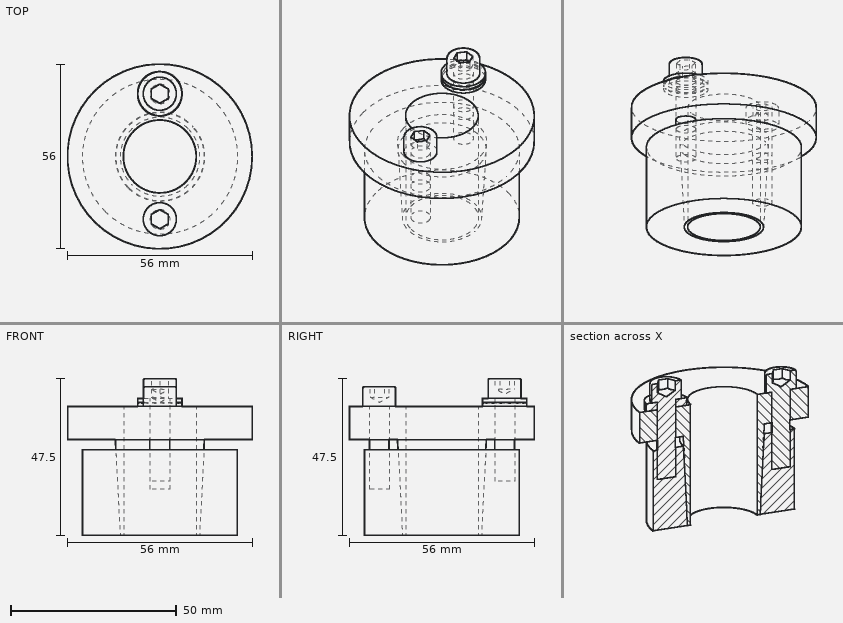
import cadquery as cq
import math

hub_diameter = 47.0
hub_height = 26.0

flange_diameter = 56.0
flange_thickness = 10.0
flange_gap = 3.0
bore_diameter = 22.0
spigot_top_diameter = 27.05
taper_angle = 3.0

screw_offset = 19.0
shank_diameter = 6.0
shank_length = 25.0
head_diameter = 10.0
head_height = 6.0
head_fillet = 0.55
socket_width = 5.05
socket_depth = 3.0
socket_tip_angle = 120.0

washer_diameter = 13.5
washer_thickness = 2.45
notch_count = 16
notch_drop = 0.2
notch_rise = 0.1
notch_depth = 0.1
notch_pitch_share = 0.9

flange_bottom = hub_height + flange_gap
flange_top = flange_bottom + flange_thickness
washer_top = flange_top + washer_thickness
spigot_height = flange_bottom
spigot_bottom_diameter = spigot_top_diameter - 2 * spigot_height * math.tan(math.radians(taper_angle))

screw_seats = [(-screw_offset, flange_top), (screw_offset, washer_top)]


def cylinder(diameter, height, bottom=0.0, y=0.0):
    return cq.Workplane("XY", origin=(0, y, bottom)).circle(diameter / 2).extrude(height)


def spigot_cone():
    """Solid taper that narrows from the flange down to the foot of the hub."""
    profile = [
        (0, 0),
        (spigot_bottom_diameter / 2, 0),
        (spigot_top_diameter / 2, spigot_height),
        (0, spigot_height),
    ]
    return cq.Workplane("XZ").polyline(profile).close().revolve(360, (0, 0), (0, 1))


def shank(y, seat):
    return cylinder(shank_diameter, shank_length, seat - shank_length, y)


def make_hub():
    hub = cylinder(hub_diameter, hub_height).cut(spigot_cone())
    for y, seat in screw_seats:
        hub = hub.cut(shank(y, seat))
    return hub


def make_flange():
    disc = cylinder(flange_diameter, flange_thickness, flange_bottom)
    flange = disc.union(spigot_cone()).cut(cylinder(bore_diameter, flange_top))
    for y, seat in screw_seats:
        flange = flange.cut(shank(y, seat))
    return flange


def hex_socket(y, top):
    """Hexagonal recess, corners toward +Y and -Y, with a conical floor."""
    corner_radius = socket_width / math.sqrt(3)
    tip_depth = corner_radius / math.tan(math.radians(socket_tip_angle / 2))
    hexagon = (
        cq.Workplane("XY", origin=(0, y, top))
        .transformed(rotate=(0, 0, 90))
        .polygon(6, 2 * corner_radius)
        .extrude(-(socket_depth + tip_depth))
    )
    profile = [
        (0, top),
        (corner_radius, top),
        (corner_radius, top - socket_depth),
        (0, top - socket_depth - tip_depth),
    ]
    drill = cq.Workplane("XZ", origin=(0, y, 0)).polyline(profile).close().revolve(360, (0, 0), (0, 1))
    return hexagon.intersect(drill)


def make_screw(y, seat):
    head = cylinder(head_diameter, head_height, seat, y).faces(">Z").edges().fillet(head_fillet)
    return head.union(shank(y, seat)).cut(hex_socket(y, seat + head_height))


def washer_notches():
    """Shallow sawtooth notches around the rim, each a step down followed by a ramp up."""
    rim_radius = washer_diameter / 2
    middle = flange_top + washer_thickness / 2
    half_width = notch_pitch_share * rim_radius * math.sin(math.pi / notch_count)
    tooth = (
        cq.Workplane("YZ", origin=(0, screw_offset, middle))
        .polyline([(-half_width, 0), (-half_width, -notch_drop), (half_width, notch_rise)])
        .close()
        .extrude(2 * rim_radius)
    )
    rim = cylinder(2 * washer_diameter, washer_thickness, flange_top, screw_offset).cut(
        cylinder(washer_diameter - 2 * notch_depth, washer_thickness, flange_top, screw_offset)
    )
    axis_start = (0, screw_offset, 0)
    axis_end = (0, screw_offset, 1)
    return [
        tooth.rotate(axis_start, axis_end, 360 * index / notch_count).intersect(rim)
        for index in range(notch_count)
    ]


def make_washer():
    washer = cylinder(washer_diameter, washer_thickness, flange_top, screw_offset)
    washer = washer.cut(shank(screw_offset, washer_top))
    for notch in washer_notches():
        washer = washer.cut(notch)
    return washer


hub = make_hub()
flange = make_flange()
washer = make_washer()
screws = [make_screw(y, seat) for y, seat in screw_seats]

result = cq.Compound.makeCompound(
    [hub.val(), flange.val(), washer.val(), *[screw.val() for screw in screws]]
)